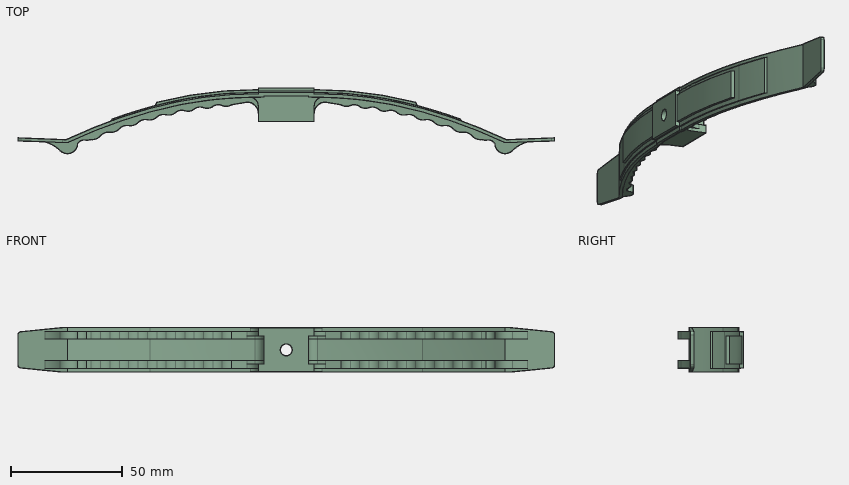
import cadquery as cq
import math

length = 240.0
half_length = length / 2
half_width = 10.0
depth = 29.42

plate_thickness = 1.5
apex_x = -13.0
apex_y = -4.1
inner_radius = 177.0
outer_radius = 240.0
seam_x = -61.0
bend_x = -97.8
arm_root_x = -10.0

tab_rise = 0.7
tip_half_width = 8.0
taper_end_x = -100.0
tip_corner_radius = 1.5

strip_end_run = 3.0
low_strip_half_width = 8.25
low_strip_height = 0.65
low_strip_start_x = -77.0
high_strip_half_width = 6.25
high_strip_height = 1.9
high_strip_start_x = -57.0

rib_inner_z = 4.75
rib_outer_z = 8.25
scallop_pitch = 8.5
scallop_count = 8
first_crest_x = -86.3
rib_mid_height = 3.1
scallop_amplitude = 0.55
rib_root_y = -6.4

lug_center_x = -97.8
lug_radius = 4.6
lug_start_x = -107.9
lug_flank_angle = math.radians(225)
lug_flank_sag = 0.5
lug_root_x = -90.3
lug_root_height = 2.6
lug_root_sag = 0.7

block_half_length = 12.5
block_depth = 15.0
pad_height = 2.0
pad_half_width = 8.15
block_half_width = 9.75
recess_depth = 2.5
recess_half_width = 6.25
recess_wall_x = block_half_length - recess_depth
hole_diameter = 5.2
web_fillet = 4.0
rib_fillet = 5.0
fillet_overlap = 0.75

seam_sine = (apex_x - seam_x) / inner_radius
seam_cosine = math.sqrt(1 - seam_sine**2)
inner_center = (apex_x, apex_y - inner_radius)
outer_center = (
    inner_center[0] + (outer_radius - inner_radius) * seam_sine,
    inner_center[1] - (outer_radius - inner_radius) * seam_cosine,
)


def arm_point(x, height=0.0):
    """Point at a normal height (+ backward, - forward) from the plate's front face at x."""
    center, radius = (outer_center, outer_radius) if x < seam_x else (inner_center, inner_radius)
    sine = (x - center[0]) / radius
    cosine = math.sqrt(1 - sine**2)
    return (center[0] + (radius + height) * sine, center[1] + (radius + height) * cosine)


def follow_arm(sketch, x_from, x_to, height):
    """Run along the bowed plate at a constant height, with one arc on each side of the seam."""
    stops = [x_from, x_to]
    if min(stops) < seam_x < max(stops):
        stops.insert(1, seam_x)
    for start, end in zip(stops, stops[1:]):
        sketch = sketch.threePointArc(arm_point((start + end) / 2, height), arm_point(end, height))
    return sketch


def both_sides(sketch, z_low, z_high):
    """Extrude a closed outline between two Z levels and add its mirror image below Z = 0."""
    upper = sketch.extrude(z_high - z_low).translate((0, 0, z_low))
    return upper.union(upper.mirror("XY"))


def centered(sketch, half_height):
    """Extrude a closed outline equally above and below Z = 0."""
    return sketch.extrude(half_height, both=True)


def box_between(x_min, x_max, y_min, y_max, half_height):
    """Box between the given X and Y limits, equal above and below Z = 0."""
    outline = cq.Workplane("XY").moveTo(x_min, y_min).lineTo(x_max, y_min).lineTo(x_max, y_max)
    return centered(outline.lineTo(x_min, y_max).close(), half_height)


def block_layer(y_min, y_max, half_height):
    """Box as long as the centre block."""
    return box_between(-block_half_length, block_half_length, y_min, y_max, half_height)


def make_plate():
    """Bowed plate with its end tab, trimmed to the tapered tab outline."""
    bend = arm_point(bend_x)
    tip_front = (-half_length, bend[1] + tab_rise)
    outline = cq.Workplane("XY").moveTo(*tip_front).lineTo(*bend)
    outline = follow_arm(outline, bend_x, arm_root_x, 0.0)
    outline = outline.lineTo(*arm_point(arm_root_x, plate_thickness))
    outline = follow_arm(outline, arm_root_x, bend_x, plate_thickness)
    outline = outline.lineTo(-half_length, tip_front[1] + plate_thickness).close()
    plate = centered(outline, half_width)

    trim = (
        cq.Workplane("XZ")
        .moveTo(-half_length, -tip_half_width)
        .lineTo(taper_end_x, -half_width)
        .lineTo(0, -half_width)
        .lineTo(0, half_width)
        .lineTo(taper_end_x, half_width)
        .lineTo(-half_length, tip_half_width)
        .close()
        .extrude(depth, both=True)
        .edges("|Y and <X")
        .fillet(tip_corner_radius)
    )
    return plate.intersect(trim)


def raised_strip(start_x, height, strip_half_width):
    """Strip on the back of the plate; it reaches full height at start_x and runs to the arm root."""
    top = plate_thickness + height
    foot_x = start_x - strip_end_run
    outline = cq.Workplane("XY").moveTo(*arm_point(foot_x))
    outline = follow_arm(outline, foot_x, arm_root_x, 0.0).lineTo(*arm_point(arm_root_x, top))
    outline = follow_arm(outline, arm_root_x, start_x, top).close()
    return centered(outline, strip_half_width)


def make_back_strips():
    """Low wide strip and high narrow strip that stiffen the back of the arm."""
    low = raised_strip(low_strip_start_x, low_strip_height, low_strip_half_width)
    high = raised_strip(high_strip_start_x, high_strip_height, high_strip_half_width)
    return low.union(high)


def make_ribs():
    """Pair of ribs with an end lug and alternating convex and concave scallops."""
    plate_middle = plate_thickness / 2
    bend = arm_point(bend_x)
    tab_slope = tab_rise / (half_length + bend_x)
    lug_start_y = bend[1] + tab_slope * (bend_x - lug_start_x)
    lug_center_y = -depth + lug_radius
    flank = (
        lug_center_x + lug_radius * math.cos(lug_flank_angle),
        lug_center_y + lug_radius * math.sin(lug_flank_angle),
    )
    lug_root = arm_point(lug_root_x, -lug_root_height)

    outline = (
        cq.Workplane("XY")
        .moveTo(lug_start_x, lug_start_y + plate_middle)
        .lineTo(lug_start_x, lug_start_y)
        .sagittaArc(flank, lug_flank_sag)
        .threePointArc((lug_center_x, -depth), (lug_center_x + lug_radius, lug_center_y))
        .sagittaArc(lug_root, lug_root_sag)
    )

    half_pitch = scallop_pitch / 2
    node_x = first_crest_x - half_pitch / 2
    outline = outline.lineTo(*arm_point(node_x, -rib_mid_height))
    swing = scallop_amplitude
    for _ in range(2 * scallop_count - 1):
        middle = arm_point(node_x + half_pitch / 2, -rib_mid_height - swing)
        node_x += half_pitch
        outline = outline.threePointArc(middle, arm_point(node_x, -rib_mid_height))
        swing = -swing

    outline = outline.lineTo(-block_half_length - rib_fillet, rib_root_y).lineTo(-recess_wall_x, rib_root_y)
    outline = outline.lineTo(*arm_point(arm_root_x, plate_middle))
    outline = follow_arm(outline, arm_root_x, bend_x, plate_middle).close()
    return both_sides(outline, rib_inner_z, rib_outer_z)


def corner_fillet(wall_x, face_y, radius):
    """Outline of the concave fillet between a forward-facing face and a block wall."""
    bulge = radius * (1 - math.sqrt(0.5))
    return (
        cq.Workplane("XY")
        .moveTo(wall_x - radius, face_y)
        .threePointArc((wall_x - bulge, face_y - bulge), (wall_x, face_y - radius))
        .lineTo(wall_x + fillet_overlap, face_y - radius)
        .lineTo(wall_x + fillet_overlap, face_y + fillet_overlap)
        .lineTo(wall_x - radius, face_y + fillet_overlap)
        .close()
    )


def make_root_fillets():
    """Fillets that join the plate and the ribs to the cheeks and recess of the block."""
    web = centered(corner_fillet(-recess_wall_x, apex_y, web_fillet), rib_inner_z)
    recess_rib = corner_fillet(-recess_wall_x, rib_root_y, web_fillet)
    cheek_rib = corner_fillet(-block_half_length, rib_root_y, rib_fillet)
    cheek_flange = corner_fillet(-block_half_length, apex_y, web_fillet)
    return (
        web.union(both_sides(recess_rib, rib_inner_z, recess_half_width))
        .union(both_sides(cheek_rib, recess_half_width, rib_outer_z))
        .union(both_sides(cheek_flange, rib_outer_z, block_half_width))
    )


def make_block():
    """Centre block with its back pad, low strip, plate band and recessed ends."""
    block = block_layer(-block_depth, -pad_height, block_half_width)
    for side in (-1, 1):
        inner, outer = sorted((side * recess_wall_x, side * block_half_length))
        block = block.cut(box_between(inner, outer, -block_depth, apex_y, recess_half_width))
    band = block_layer(-pad_height - plate_thickness, -pad_height, half_width)
    low_strip = block_layer(-pad_height, -pad_height + low_strip_height, low_strip_half_width)
    pad = block_layer(-pad_height, 0, pad_half_width)
    return block.union(band).union(low_strip).union(pad)


def make_hole():
    """Round through hole along Y."""
    return cq.Workplane("XZ").circle(hole_diameter / 2).extrude(block_depth)


arm = make_plate().union(make_back_strips()).union(make_ribs()).union(make_root_fillets())
result = make_block().union(arm).union(arm.mirror("YZ")).cut(make_hole())